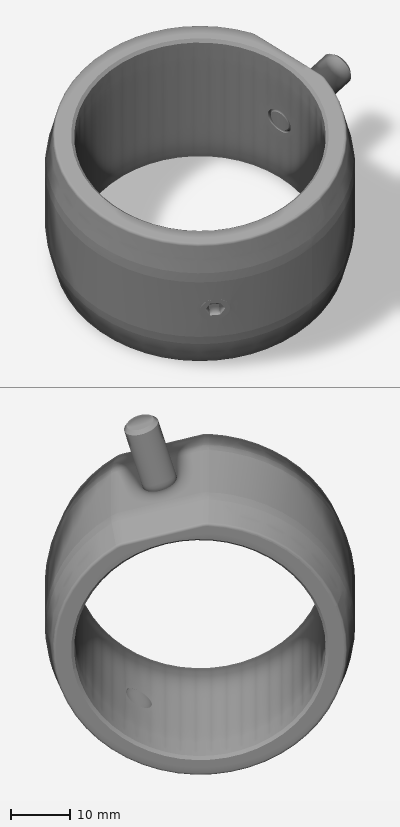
import cadquery as cq
import math

OUTER_DIAMETER = 52.5
OUTER_RADIUS = OUTER_DIAMETER / 2
BORE_RADIUS = 21.3
RING_HEIGHT = 30.0
FLAT_DISTANCE = 25.1
FLAT_CORNER_RADIUS = 5.0
SLOPE_HEIGHT = 7.0
SLOPE_ANGLE = 12.0
RIDGE_RADIUS = 10.05
RIM_RADIUS = 0.5
BORE_CHAMFER = 0.5

JOINT_STEP = 4.0
JOINT_OFFSET = JOINT_STEP / 2
TAB_HEIGHT = 4.7

DOWEL_DIAMETER = 2.05
DOWEL_DISTANCE = 23.0

POST_DIAMETER = 6.05
POST_CHAMFER = 0.65
SHANK_DIAMETER = 5.0
SHANK_CHAMFER = 0.6
OVERALL_LENGTH = 63.5

SCREW_DIAMETER = 5.0
SCREW_ANGLE = -45.0
SOCKET_ACROSS_FLATS = 3.0
SOCKET_DEPTH = 2.5

half_height = RING_HEIGHT / 2
post_tip = OVERALL_LENGTH - OUTER_RADIUS
wall_half_height = half_height - SLOPE_HEIGHT


def collar_outline(level):
    """Circle with a flat on +Y; arcs round the two corners of the flat."""
    corner_y = FLAT_DISTANCE - FLAT_CORNER_RADIUS
    corner_orbit = OUTER_RADIUS - FLAT_CORNER_RADIUS
    corner_x = math.sqrt(corner_orbit**2 - corner_y**2)
    reach = OUTER_RADIUS / corner_orbit
    touch_x = corner_x * reach
    touch_y = corner_y * reach
    middle_angle = (math.pi / 2 + math.atan2(corner_y, corner_x)) / 2
    middle_x = corner_x + FLAT_CORNER_RADIUS * math.cos(middle_angle)
    middle_y = corner_y + FLAT_CORNER_RADIUS * math.sin(middle_angle)
    return (
        cq.Workplane("XY", origin=(0, 0, level))
        .moveTo(-corner_x, FLAT_DISTANCE)
        .lineTo(corner_x, FLAT_DISTANCE)
        .threePointArc((middle_x, middle_y), (touch_x, touch_y))
        .threePointArc((0, -OUTER_RADIUS), (-touch_x, touch_y))
        .threePointArc((-middle_x, middle_y), (-corner_x, FLAT_DISTANCE))
        .close()
    )


def edges_at_level(level, radius):
    """Selector for the edges at one height that lie within a radius of the ring axis."""
    margin = 0.005
    reach = radius + margin
    return cq.selectors.BoxSelector(
        (-reach, -reach, level - margin), (reach, reach, level + margin), boundingbox=True
    )


def make_ring():
    """Whole collar before it is split and drilled."""
    wall = collar_outline(0).extrude(wall_half_height)
    slope = collar_outline(wall_half_height).extrude(SLOPE_HEIGHT, taper=SLOPE_ANGLE)
    upper = wall.union(slope)
    upper = upper.edges(edges_at_level(wall_half_height, OUTER_RADIUS)).fillet(RIDGE_RADIUS)
    upper = upper.edges(edges_at_level(half_height, OUTER_RADIUS)).fillet(RIM_RADIUS)
    bore = cq.Workplane("XY").circle(BORE_RADIUS).extrude(half_height)
    upper = upper.cut(bore)
    upper = upper.edges(edges_at_level(half_height, BORE_RADIUS)).chamfer(BORE_CHAMFER)
    return upper.union(upper.mirror("XY"))


def make_front_region():
    """Space of the front half: everything at -Y, reaching further at the end tabs."""
    span = 2 * OUTER_RADIUS
    middle = cq.Workplane("XY").box(span, span, RING_HEIGHT)
    region = middle.translate((0, -JOINT_OFFSET - span / 2, 0))
    tab = cq.Workplane("XY").box(span, span, TAB_HEIGHT)
    tab_level = half_height - TAB_HEIGHT / 2
    for level in (-tab_level, tab_level):
        region = region.union(tab.translate((0, JOINT_OFFSET - span / 2, level)))
    return region


def make_dowel(side):
    """Plain pin through the whole height of the joint; side is -1 or +1 along X."""
    return (
        cq.Workplane("XY", origin=(side * DOWEL_DISTANCE, 0, -half_height))
        .circle(DOWEL_DIAMETER / 2)
        .extrude(RING_HEIGHT)
    )


def cylinder_along_y(start, end, diameter):
    """Cylinder on the Y axis between two distances from the ring axis."""
    return cq.Workplane("XZ", origin=(0, start, 0)).circle(diameter / 2).extrude(start - end)


def make_post():
    """Post shouldered on the flat, with a thinner shank through the wall."""
    stem = cylinder_along_y(FLAT_DISTANCE, post_tip, POST_DIAMETER)
    stem = stem.faces(">Y").chamfer(POST_CHAMFER)
    shank = cylinder_along_y(BORE_RADIUS, FLAT_DISTANCE, SHANK_DIAMETER)
    shank = shank.faces("<Y").chamfer(SHANK_CHAMFER)
    return stem.union(shank)


def screw_cylinder(start, end):
    """Cylinder of the screw's diameter between two distances from the ring axis, along +X."""
    return cq.Workplane("YZ", origin=(start, 0, 0)).circle(SCREW_DIAMETER / 2).extrude(end - start)


def turned_to_screw(shape):
    """Shape built along +X, turned about the ring axis to the screw's direction."""
    return shape.rotate((0, 0, 0), (0, 0, 1), SCREW_ANGLE)


def make_set_screw():
    """Headless screw with a hexagon socket, spanning the wall from bore to outside."""
    across_corners = SOCKET_ACROSS_FLATS / math.cos(math.pi / 6)
    socket = (
        cq.Workplane("YZ", origin=(OUTER_RADIUS, 0, 0))
        .polygon(6, across_corners)
        .extrude(-SOCKET_DEPTH)
    )
    return turned_to_screw(screw_cylinder(BORE_RADIUS, OUTER_RADIUS).cut(socket))


def make_screw_hole():
    """Radial hole through the wall for the set screw."""
    return turned_to_screw(screw_cylinder(0, OUTER_RADIUS))


def make_post_hole():
    """Hole through the wall for the post's shank."""
    return cylinder_along_y(0, OUTER_RADIUS, SHANK_DIAMETER)


ring = make_ring()
dowels = [make_dowel(side) for side in (-1, 1)]
for dowel in dowels:
    ring = ring.cut(dowel)

front_region = make_front_region()
front_half = ring.intersect(front_region).cut(make_screw_hole())
back_half = ring.cut(front_region).cut(make_post_hole())
post = make_post()
set_screw = make_set_screw()

result = cq.Compound.makeCompound(
    [
        front_half.val(),
        back_half.val(),
        post.val(),
        set_screw.val(),
        *[dowel.val() for dowel in dowels],
    ]
)